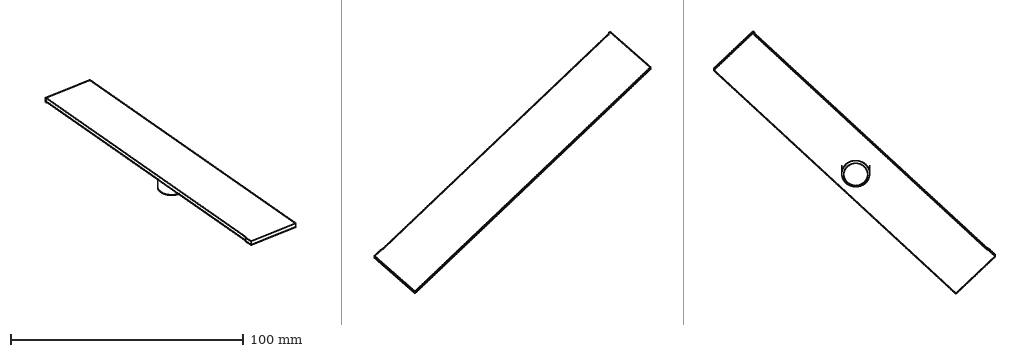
import cadquery as cq

length = 146.5
width = 24.2
thickness = 1.9

relief_depth = 0.3
left_land = 0.9
left_ramp = 0.5
right_land = 4.0
right_ramp = 1.3

total_height = 14.0
stem_diameter = 12.0
stem_offset_x = 0.7
root_fillet = 1.0
tip_chamfer = 0.9


def ramp_radius(ramp_length):
    """Radius of an arc tangent to the relief floor that climbs to the land."""
    return (ramp_length**2 + relief_depth**2) / (2 * relief_depth)


def make_plate():
    """Flat plate with its top at Z = 0 and concave arcs ending the edge relief."""
    left = -length / 2
    right = length / 2
    front = -width / 2
    back = width / 2
    floor = front + relief_depth
    relief_left = left + left_land
    relief_right = right - right_land
    outline = (
        cq.Workplane("XY")
        .moveTo(left, front)
        .lineTo(relief_left, front)
        .radiusArc((relief_left + left_ramp, floor), ramp_radius(left_ramp))
        .lineTo(relief_right - right_ramp, floor)
        .radiusArc((relief_right, front), ramp_radius(right_ramp))
        .lineTo(right, front)
        .lineTo(right, back)
        .lineTo(left, back)
        .close()
    )
    return outline.extrude(-thickness)


def make_stem():
    """Revolved stem with a concave root fillet and a chamfered tip."""
    radius = stem_diameter / 2
    root_z = -thickness
    tip_z = -total_height
    profile = (
        cq.Workplane("XZ")
        .moveTo(0, root_z)
        .lineTo(radius + root_fillet, root_z)
        .radiusArc((radius, root_z - root_fillet), -root_fillet)
        .lineTo(radius, tip_z + tip_chamfer)
        .lineTo(radius - tip_chamfer, tip_z)
        .lineTo(0, tip_z)
        .close()
    )
    return profile.revolve(360, (0, 0), (0, 1)).translate((stem_offset_x, 0, 0))


result = make_plate().union(make_stem())